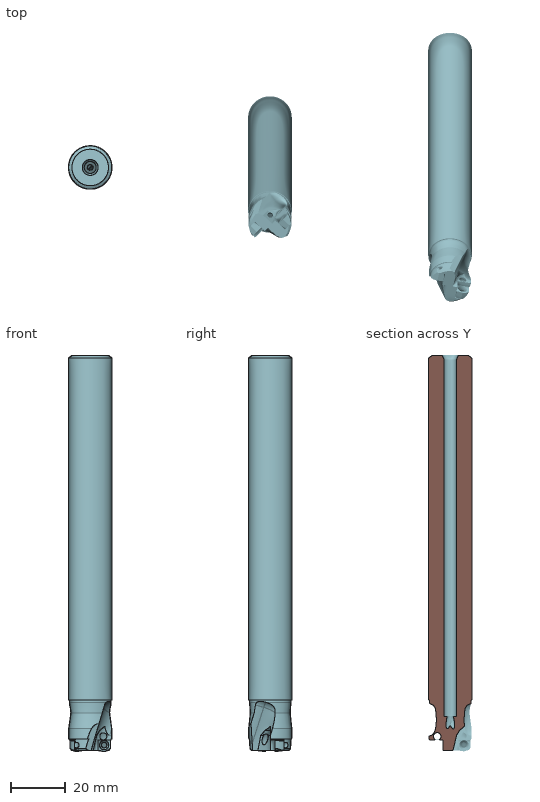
import cadquery as cq
import math

total_length = 145.45
flute_count = 2

shank_radius = 8.0
shank_bottom = 18.9
shank_chamfer_width = 1.3
shank_chamfer_height = 1.0
bore_radius = 2.2
bore_bottom = 13.0
bore_mouth_radius = 2.9
bore_mouth_depth = 1.6

neck_top = 18.1
neck_top_radius = 7.65
waist_height = 14.2
waist_radius = 7.35
head_top = 8.5
head_radius = 7.95
land_top = 4.6
land_radius = 7.65
nose_top = 1.1
nose_bottom = 0.4
nose_radius = 6.9

flute_corner = (-1.8, 0.6, 5.5)
flute_lean_x = -0.3
flute_lean_y = -0.32
flute_corner_radius = 5.0
flute_end_radius = 2.8
flute_size = 20.0
flute_length_down = 12.0
flute_length_up = 13.0

shoulder_angle = 114.0
shoulder_distance = 6.7
shoulder_height = 4.3
shoulder_tilt = 10.0
shoulder_size = 30.0

pocket_floor_y = 0.0
pocket_depth = 5.0
pocket_inner_bottom_x = -1.0
pocket_inner_x = -2.4
pocket_inner_top = 6.0
pocket_shoulder = (-3.5, 7.8)
pocket_peak = (-5.6, 9.5)
pocket_outer_end = (-9.0, 7.4)
relief_center = (-4.8, 5.6)
relief_radius = 1.3
relief_depth = 1.0

insert_face_y = -1.8
insert_thickness = 3.2
insert_inner_x = -2.8
insert_outer_x = -7.6
insert_top = 4.2
insert_tip_x = -5.1
insert_inner_rise = 0.4
insert_corner_x = -6.9
insert_corner_rise = 0.5
insert_side_bottom = 1.4
insert_clearance_angle = 7.0
insert_envelope_radius = 7.7
screw_x = -5.1
screw_z = 2.4
screw_hole_diameter = 2.0
screw_hole_depth = 2.0
screw_head_diameter = 3.4
screw_head_angle = 60.0

coolant_radius = 1.0
coolant_outlet = (-2.2, 2.0, 4.2)
coolant_overrun = 1.5


def xz_plane(y):
    """Work plane at the given Y, with local axes along X and Z and the normal toward -Y."""
    return cq.Workplane("XZ", origin=(0, y, 0))


def around_axis(shape, index):
    """Copy a shape from the -X side to the given flute position."""
    return shape.rotate((0, 0, 0), (0, 0, 1), index * 360.0 / flute_count)


def turned_blank():
    outline = [
        (0, nose_bottom),
        (nose_radius, nose_bottom),
        (land_radius, nose_top),
        (land_radius, land_top),
        (head_radius, land_top),
        (head_radius, head_top),
        (waist_radius, waist_height),
        (neck_top_radius, neck_top),
        (neck_top_radius, shank_bottom),
        (shank_radius, shank_bottom),
        (shank_radius, total_length - shank_chamfer_height),
        (shank_radius - shank_chamfer_width, total_length),
        (0, total_length),
    ]
    return cq.Workplane("XZ").polyline(outline).close().revolve(360, (0, 0), (0, 1))


def centre_bore():
    outline = [
        (0, bore_bottom),
        (bore_radius, bore_bottom),
        (bore_radius, total_length - bore_mouth_depth),
        (bore_mouth_radius, total_length),
        (0, total_length),
    ]
    return cq.Workplane("XZ").polyline(outline).close().revolve(360, (0, 0), (0, 1))


def flute():
    """Leaning block with one round edge and a rounded upper end, open toward -X and +Y."""
    direction = cq.Vector(flute_lean_x, flute_lean_y, 1).normalized()
    start = cq.Vector(*flute_corner) - direction * flute_length_down
    wall_normal = cq.Vector(-1, 0, flute_lean_x)
    plane = cq.Plane(origin=start.toTuple(), xDir=wall_normal.toTuple(), normal=direction.toTuple())
    return (
        cq.Workplane(plane)
        .moveTo(flute_size, 0)
        .lineTo(flute_corner_radius, 0)
        .radiusArc((0, -flute_corner_radius), -flute_corner_radius)
        .lineTo(0, -flute_size)
        .lineTo(flute_size, -flute_size)
        .close()
        .extrude(flute_length_down + flute_length_up)
        .faces(">Z")
        .edges()
        .fillet(flute_end_radius)
    )


def shoulder_flat():
    """Block outside a tilted plane that moves away from the axis with height."""
    block = cq.Workplane("XY").box(shoulder_size, shoulder_size, shoulder_size, centered=(False, True, True))
    return (
        block.rotate((0, 0, 0), (0, 1, 0), shoulder_tilt)
        .translate((shoulder_distance, 0, shoulder_height))
        .rotate((0, 0, 0), (0, 0, 1), shoulder_angle)
    )


def chip_pocket():
    outline = [
        (pocket_inner_bottom_x, 0),
        (pocket_inner_x, pocket_inner_top),
        pocket_shoulder,
        pocket_peak,
        pocket_outer_end,
        (pocket_outer_end[0], 0),
    ]
    return xz_plane(pocket_floor_y).polyline(outline).close().extrude(-pocket_depth)


def pocket_relief():
    """Round recess in the pocket floor above the insert."""
    return xz_plane(pocket_floor_y).center(*relief_center).circle(relief_radius).extrude(relief_depth)


def insert_seat():
    seat_back_y = insert_face_y - insert_thickness
    seat = (
        xz_plane(seat_back_y)
        .moveTo(insert_inner_x, 0)
        .lineTo(insert_inner_x, insert_top)
        .lineTo(-shank_radius, insert_top)
        .lineTo(-shank_radius, 0)
        .close()
        .extrude(seat_back_y - pocket_floor_y)
    )
    screw_hole = (
        xz_plane(seat_back_y).center(screw_x, screw_z).circle(screw_hole_diameter / 2).extrude(shank_radius)
    )
    return seat.union(screw_hole)


def coolant_hole():
    """Straight hole from the bottom of the centre bore, running out just past the flute wall."""
    start = cq.Vector(0, 0, bore_bottom)
    path = cq.Vector(*coolant_outlet) - start
    hole = cq.Solid.makeCylinder(coolant_radius, path.Length + coolant_overrun, start, path)
    return cq.Workplane(hole)


def make_holder():
    holder = turned_blank().cut(centre_bore())
    for index in range(flute_count):
        for cutter in (flute(), shoulder_flat(), chip_pocket(), pocket_relief(), insert_seat(), coolant_hole()):
            holder = holder.cut(around_axis(cutter, index))
    return holder


def make_insert():
    outline = [
        (insert_inner_x, insert_inner_rise),
        (insert_tip_x, 0),
        (insert_corner_x, insert_corner_rise),
        (insert_outer_x, insert_side_bottom),
        (insert_outer_x, insert_top),
        (insert_inner_x, insert_top),
    ]
    blank = xz_plane(insert_face_y).polyline(outline).close()
    blank = blank.extrude(insert_thickness, taper=insert_clearance_angle)
    envelope = cq.Workplane("XY").circle(insert_envelope_radius).extrude(insert_top)
    head_depth = (screw_head_diameter - screw_hole_diameter) / 2 / math.tan(math.radians(screw_head_angle / 2))
    hole = xz_plane(insert_face_y).center(screw_x, screw_z).circle(screw_hole_diameter / 2)
    hole = hole.extrude(screw_hole_depth)
    head = cq.Solid.makeCone(
        screw_head_diameter / 2,
        screw_hole_diameter / 2,
        head_depth,
        cq.Vector(screw_x, insert_face_y, screw_z),
        cq.Vector(0, -1, 0),
    )
    return blank.intersect(envelope).cut(hole).cut(cq.Workplane(head))


holder = make_holder()
inserts = [around_axis(make_insert(), index) for index in range(flute_count)]

result = cq.Compound.makeCompound([holder.val(), *[insert.val() for insert in inserts]])